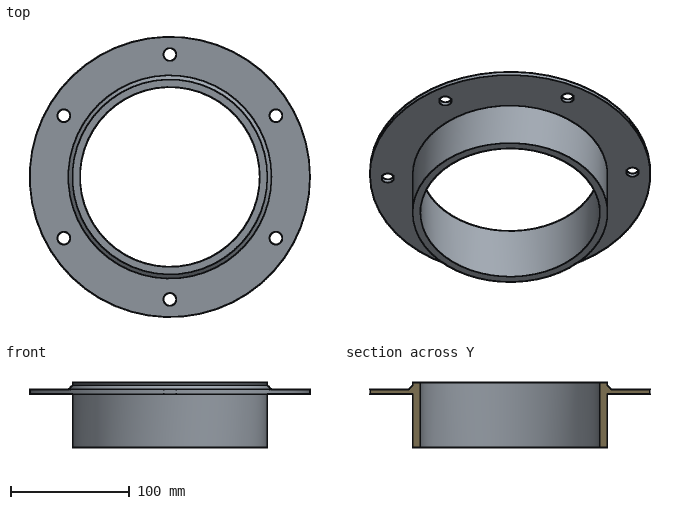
import cadquery as cq

TUBE_OUTER_DIAMETER = 164.0
TUBE_BORE_DIAMETER = 151.0
TUBE_LENGTH = 55.0

FLANGE_DIAMETER = 236.0
FLANGE_THICKNESS = 4.0
TUBE_ABOVE_FLANGE = 6.0
FLANGE_TOP = TUBE_LENGTH - TUBE_ABOVE_FLANGE
FLANGE_BOTTOM = FLANGE_TOP - FLANGE_THICKNESS

WELD_LEG = 3.5

BOLT_HOLE_DIAMETER = 10.5
BOLT_CIRCLE_DIAMETER = 206.0
BOLT_COUNT = 6
FIRST_BOLT_ANGLE = 90.0


def ring_body():
    """Revolve the tube, flange and weld section about the Z axis."""
    bore_radius = TUBE_BORE_DIAMETER / 2
    tube_radius = TUBE_OUTER_DIAMETER / 2
    flange_radius = FLANGE_DIAMETER / 2
    section = (
        cq.Workplane("XZ")
        .moveTo(bore_radius, 0)
        .lineTo(tube_radius, 0)
        .lineTo(tube_radius, FLANGE_BOTTOM)
        .lineTo(flange_radius, FLANGE_BOTTOM)
        .lineTo(flange_radius, FLANGE_TOP)
        .lineTo(tube_radius + WELD_LEG, FLANGE_TOP)
        .lineTo(tube_radius, FLANGE_TOP + WELD_LEG)
        .lineTo(tube_radius, TUBE_LENGTH)
        .lineTo(bore_radius, TUBE_LENGTH)
        .close()
    )
    return section.revolve(360, (0, 0, 0), (0, 1, 0))


def bolt_holes():
    """Cylinders through the flange, evenly spaced on the bolt circle."""
    return (
        cq.Workplane("XY", origin=(0, 0, FLANGE_BOTTOM))
        .polarArray(BOLT_CIRCLE_DIAMETER / 2, FIRST_BOLT_ANGLE, 360, BOLT_COUNT)
        .circle(BOLT_HOLE_DIAMETER / 2)
        .extrude(FLANGE_THICKNESS)
    )


result = ring_body().cut(bolt_holes())